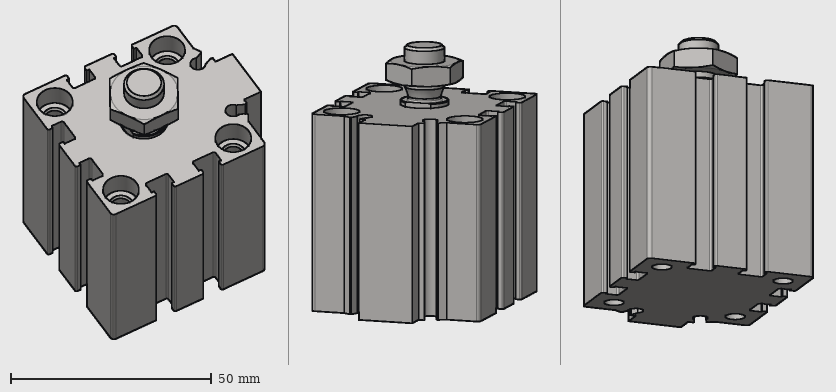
import cadquery as cq
import math


body_width = 44.5
body_height = 50.0
corner_radius = 1.0
half_width = body_width / 2

overall_depth = 52.0
rail_half_width = 7.0
rail_top = overall_depth - half_width

channel_width = 3.0
channel_angle = 24.0
channel_throat_offset = 0.1
channel_end_diameter = 3.8
channel_end_x = 8.65
channel_end_y = 20.7
channel_length = 7.8

ledge_y = 24.8
ledge_tip_x = 8.45
ledge_lower_y = 24.3
horn_y = 23.3
horn_inner_x = 11.2
horn_outer_x = 11.7
horn_root_x = 13.5

slot_offset = 6.8
slot_depth = 4.7
slot_width = 6.5
slot_mouth_width = 5.1
slot_lip_thickness = 1.4
slot_corner_radius = 0.5
slot_mouth_radius = 0.45

hole_offset = 16.25
hole_diameter = 4.95
chamfer_diameter = 6.0
counterbore_diameter = 9.0
counterbore_depth = 6.0

rod_diameter = 12.0
rod_flats = 10.0
rod_shoulder_height = 1.2
rod_edge_chamfer = 0.2
rod_insertion = 10.0
flat_depth = 2.0
neck_diameter = 8.2
neck_root_radius = 0.4
neck_top_height = 2.0
neck_top_chamfer_height = 0.2
neck_top_chamfer_width = 0.05
taper_hollow = 0.1
taper_end_height = 4.5
thread_diameter = 10.0
thread_chamfer = 0.7
rod_top = 65.0

nut_flats = 16.95
nut_sides = 6
nut_height = 5.0
nut_standoff = 6.0
nut_chamfer_angle = 18.0

quarter_arc_inset = 1 - math.sqrt(0.5)


def slot_cutter():
    """T-slot opening toward -Y through the face at Y = -half_width, centred on X = 0."""
    inner_height = slot_depth - slot_lip_thickness
    face = -half_width
    pocket = (
        cq.Workplane("XY")
        .center(0, face + slot_lip_thickness + inner_height / 2)
        .rect(slot_width, inner_height)
        .extrude(body_height)
        .edges("|Z and >Y")
        .fillet(slot_corner_radius)
    )
    half_mouth = slot_mouth_width / 2
    round_start = face + slot_mouth_radius
    round_middle = slot_mouth_radius * quarter_arc_inset
    outer_half = half_mouth + slot_mouth_radius
    mouth = (
        cq.Workplane("XY")
        .moveTo(-half_mouth, face + slot_lip_thickness)
        .lineTo(half_mouth, face + slot_lip_thickness)
        .lineTo(half_mouth, round_start)
        .threePointArc((half_mouth + round_middle, face + round_middle), (outer_half, face))
        .lineTo(-outer_half, face)
        .threePointArc((-half_mouth - round_middle, face + round_middle), (-half_mouth, round_start))
        .close()
        .extrude(body_height)
    )
    return pocket.union(mouth)


def channel_lip():
    """Ledge and horn at the +X flank of the rail, joined until the channel splits them."""
    return (
        cq.Workplane("XY")
        .polyline([
            (0, half_width - corner_radius),
            (0, ledge_y),
            (ledge_tip_x, ledge_y),
            (ledge_tip_x, ledge_lower_y),
            (horn_inner_x, horn_y),
            (horn_outer_x, horn_y),
            (horn_root_x, half_width),
            (horn_root_x, half_width - corner_radius),
        ])
        .close()
        .extrude(body_height)
    )


def channel_cutter():
    """Round-ended channel, leaning outward beside the +X flank of the rail."""
    throat = (
        cq.Workplane("XY")
        .center(-channel_throat_offset, channel_length / 2)
        .rect(channel_width, channel_length)
        .extrude(body_height)
    )
    end = cq.Workplane("XY").circle(channel_end_diameter / 2).extrude(body_height)
    return (
        throat.union(end)
        .rotate((0, 0, 0), (0, 0, 1), -channel_angle)
        .translate((channel_end_x, channel_end_y, 0))
    )


def hole_cutter():
    """Through hole with a 45-degree countersink under a flat counterbore."""
    countersink = (chamfer_diameter - hole_diameter) / 2
    floor = body_height - counterbore_depth
    return (
        cq.Workplane("XZ")
        .polyline([
            (0, 0),
            (hole_diameter / 2, 0),
            (hole_diameter / 2, floor - countersink),
            (chamfer_diameter / 2, floor),
            (counterbore_diameter / 2, floor),
            (counterbore_diameter / 2, body_height),
            (0, body_height),
        ])
        .close()
        .revolve(360, (0, 0, 0), (0, 1, 0))
    )


def make_housing():
    block = (
        cq.Workplane("XY")
        .rect(body_width, body_width)
        .extrude(body_height)
        .edges("|Z")
        .fillet(corner_radius)
    )
    rail = (
        cq.Workplane("XY")
        .center(0, rail_top / 2)
        .rect(2 * rail_half_width, rail_top)
        .extrude(body_height)
    )
    lip = channel_lip()
    channel = channel_cutter()
    block = block.union(rail).union(lip).union(lip.mirror("YZ"))
    block = block.cut(channel).cut(channel.mirror("YZ"))

    slot = slot_cutter()
    for side_angle in (-90, 0, 90):
        for offset in (-slot_offset, slot_offset):
            block = block.cut(slot.translate((offset, 0, 0)).rotate((0, 0, 0), (0, 0, 1), side_angle))

    hole = hole_cutter()
    for x in (-hole_offset, hole_offset):
        for y in (-hole_offset, hole_offset):
            block = block.cut(hole.translate((x, y, 0)))

    bore = (
        cq.Workplane("XY", origin=(0, 0, body_height - rod_insertion))
        .circle(rod_diameter / 2)
        .extrude(rod_insertion)
    )
    return block.cut(bore)


def make_rod():
    shoulder = body_height + rod_shoulder_height
    rod_radius = rod_diameter / 2
    neck_radius = neck_diameter / 2
    thread_radius = thread_diameter / 2
    neck_top = body_height + neck_top_height
    taper_start = neck_top + neck_top_chamfer_height
    taper_end = body_height + taper_end_height
    taper_middle = (taper_start + taper_end) / 2
    taper_start_radius = neck_radius + neck_top_chamfer_width
    taper_middle_radius = (taper_start_radius + thread_radius) / 2 - taper_hollow
    root_middle = neck_root_radius * quarter_arc_inset
    rod = (
        cq.Workplane("XZ")
        .moveTo(0, body_height - rod_insertion)
        .lineTo(rod_radius, body_height - rod_insertion)
        .lineTo(rod_radius, shoulder - rod_edge_chamfer)
        .lineTo(rod_radius - rod_edge_chamfer, shoulder)
        .lineTo(neck_radius + neck_root_radius, shoulder)
        .threePointArc(
            (neck_radius + root_middle, shoulder + root_middle),
            (neck_radius, shoulder + neck_root_radius),
        )
        .lineTo(neck_radius, neck_top)
        .lineTo(taper_start_radius, taper_start)
        .threePointArc((taper_middle_radius, taper_middle), (thread_radius, taper_end))
        .lineTo(thread_radius, rod_top - thread_chamfer)
        .lineTo(thread_radius - thread_chamfer, rod_top)
        .lineTo(0, rod_top)
        .close()
        .revolve(360, (0, 0, 0), (0, 1, 0))
    )
    flat_height = flat_depth + rod_shoulder_height
    flat_cut = (
        cq.Workplane("XY", origin=(0, 0, body_height - flat_depth))
        .center(0, (rod_flats + rod_diameter) / 2)
        .rect(rod_diameter, rod_diameter)
        .extrude(flat_height)
    )
    return rod.cut(flat_cut).cut(flat_cut.mirror("XZ"))


def make_nut():
    hex_corner_radius = nut_flats / 2 / math.cos(math.pi / nut_sides)
    corner_drop = (hex_corner_radius - nut_flats / 2) * math.tan(math.radians(nut_chamfer_angle))
    hex_half_angle = 180 / nut_sides
    hexagon = (
        cq.Workplane("XY")
        .polygon(nut_sides, 2 * hex_corner_radius)
        .extrude(nut_height)
        .rotate((0, 0, 0), (0, 0, 1), hex_half_angle)
    )
    envelope = (
        cq.Workplane("XZ")
        .polyline([
            (thread_diameter / 2, 0),
            (nut_flats / 2, 0),
            (hex_corner_radius, corner_drop),
            (hex_corner_radius, nut_height - corner_drop),
            (nut_flats / 2, nut_height),
            (thread_diameter / 2, nut_height),
        ])
        .close()
        .revolve(360, (0, 0, 0), (0, 1, 0))
    )
    return hexagon.intersect(envelope).translate((0, 0, body_height + nut_standoff))


housing = make_housing()
rod = make_rod()
nut = make_nut()

result = cq.Compound.makeCompound([housing.val(), rod.val(), nut.val()])